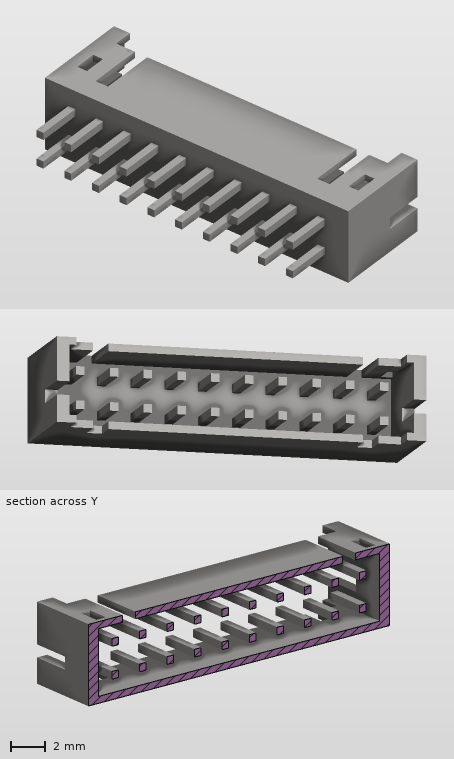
import cadquery as cq

pins_per_row = 10
pitch = 2.0
pin_width = 0.5
pin_tail_length = 3.0
pin_contact_end = 4.4
lower_row_height = 1.5

end_margin = 1.95
housing_length = (pins_per_row - 1) * pitch + 2 * end_margin
housing_height = 5.0
housing_depth = 6.5
half_length = housing_length / 2

back_thickness = 1.5
wall_thickness = 0.45
end_wall_thickness = 0.75

arm_width = 1.15
front_setback = 1.3

slot_width = 0.9
slot_offset = 2.5
bottom_slot_end = 3.8

window_width = 0.7
window_length = 1.5
window_offset = 0.8
window_start = 2.0

notch_end = 3.9
notch_bottom = 1.6
notch_height = 0.8


def box(x_range, y_range, z_range):
    """Box spanning the given (low, high) limits on each axis."""
    sizes = [high - low for low, high in (x_range, y_range, z_range)]
    corner = (x_range[0], y_range[0], z_range[0])
    return cq.Workplane("XY").box(*sizes, centered=False).translate(corner)


def at_both_ends(offset, width, y_range, z_range):
    """Mirrored pair of boxes, each starting at an offset from its end face."""
    left = box((-half_length + offset, -half_length + offset + width), y_range, z_range)
    return left.union(left.mirror("YZ"))


def make_housing():
    full_height = (0, housing_height)
    top_wall = (housing_height - wall_thickness, housing_height)
    bottom_wall = (0, wall_thickness)

    body = box((-half_length, half_length), (0, housing_depth), full_height)

    cavity_half_length = half_length - end_wall_thickness
    body = body.cut(box(
        (-cavity_half_length, cavity_half_length),
        (back_thickness, housing_depth),
        (wall_thickness, housing_height - wall_thickness),
    ))

    setback_half_length = half_length - arm_width
    body = body.cut(box(
        (-setback_half_length, setback_half_length),
        (housing_depth - front_setback, housing_depth),
        full_height,
    ))

    for slot_end, wall in ((back_thickness, top_wall), (bottom_slot_end, bottom_wall)):
        body = body.cut(at_both_ends(slot_offset, slot_width, (slot_end, housing_depth), wall))

    window_span = (window_start, window_start + window_length)
    body = body.cut(at_both_ends(window_offset, window_width, window_span, top_wall))

    notch_span = (notch_bottom, notch_bottom + notch_height)
    return body.cut(at_both_ends(0, end_wall_thickness, (notch_end, housing_depth), notch_span))


def add_pins(body):
    first_pin_x = -(pins_per_row - 1) * pitch / 2
    half_pin = pin_width / 2
    for row_height in (lower_row_height, lower_row_height + pitch):
        for index in range(pins_per_row):
            pin_x = first_pin_x + index * pitch
            body = body.union(box(
                (pin_x - half_pin, pin_x + half_pin),
                (-pin_tail_length, pin_contact_end),
                (row_height - half_pin, row_height + half_pin),
            ))
    return body


result = add_pins(make_housing())